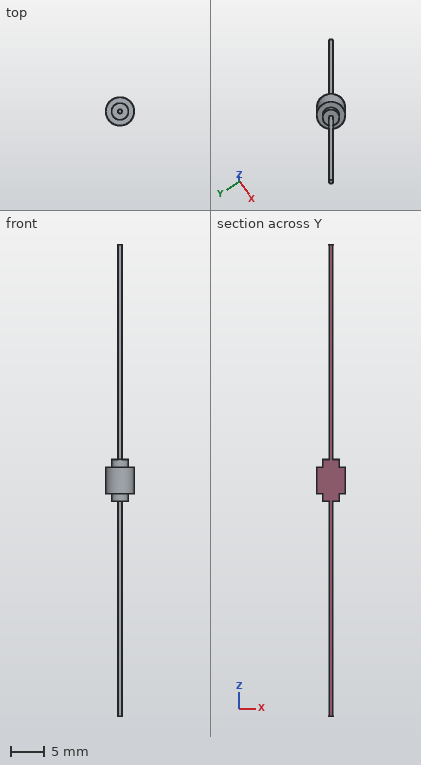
import cadquery as cq

TOTAL_LENGTH = 71.37

BODY_DIAMETER = 4.32
BODY_LENGTH = 4.06

COLLAR_DIAMETER = 2.54
COLLAR_LENGTH = 1.14

WIRE_DIAMETER = 0.635


def centred_cylinder(diameter, length):
    """Cylinder along Z with its mid-length at the origin."""
    base = cq.Workplane("XY").workplane(offset=-length / 2)
    return base.circle(diameter / 2).extrude(length)


body = centred_cylinder(BODY_DIAMETER, BODY_LENGTH)
collars = centred_cylinder(COLLAR_DIAMETER, BODY_LENGTH + 2 * COLLAR_LENGTH)
wire = centred_cylinder(WIRE_DIAMETER, TOTAL_LENGTH)

result = body.union(collars).union(wire)